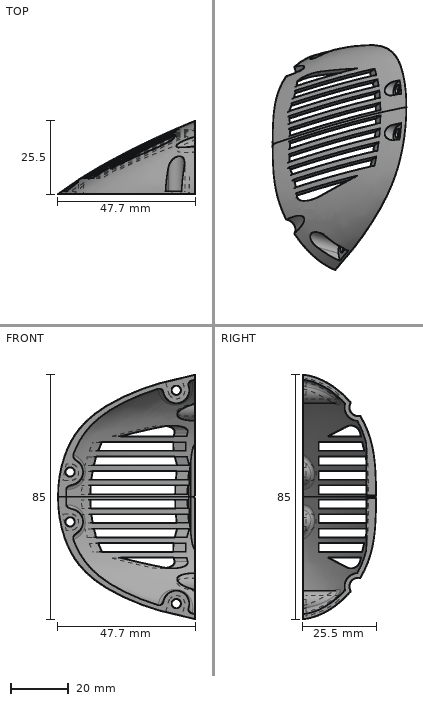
import cadquery as cq
import math

HALF_LENGTH = 42.5
DEPTH = 47.7
WALL = 1.7
BIG = 170.0

APEX_X = 5.1
APEX_HEIGHT = 27.8
APEX_HALF_WIDTH = 43.8
RIDGE_RUN = 1.329
RIDGE_BEND = 0.02118
SIDE_POWER = 1.7
CROWN_POWER = 2.4
LEVELS = [-5.1, 0, 4.25, 8.5, 12.75, 17, 21.25, 23.8, 26.35]
BASE_CURVE = [(0, 0), (0.04, 0.31), (0.1, 0.47), (0.3, 0.708), (0.6, 0.877), (1, 1)]

WINDOW_LOW = 5.6
WINDOW_HIGH = 22.5
WINDOW_OUTLINE = [(19.4, WINDOW_LOW), (26.35, 18.95), (10.6, WINDOW_HIGH)]
WINDOW_CORNER = 3.2
BAR_PITCH = 5.0
BAR_WIDTH = 2.0
BARS_PER_SIDE = 4

SCREWS = [(-6.55, 37.05, 105), (-43.4, 8.7, 180)]
SCREW_RADIUS = 1.57
HEAD_RADIUS = 2.9
HEAD_SEAT = 1.0
BOSS_RADIUS = 4.5
BOSS_FILLET = 1.5

GROOVE_Y = 19.2
GROOVE_Z = 31.1
GROOVE_RADIUS = 3.0

LIP_LOW = 22.1
LIP_FLAT_X = -0.3
LIP_LEDGE_X = -1.5
LIP_END_X = -2.6
LIP_CORNER_RISE = 0.4
LIP_CORNER_SAG = 0.1
LIP_SIDE_RISE = 0.8

BEVEL = 0.5


def level_wire(y):
    """Closed half outline of the outer surface at height y, on the z >= 0 side."""
    tip_x = -DEPTH + RIDGE_RUN * y + RIDGE_BEND * y**2
    half_width = APEX_HALF_WIDTH * (1 - (abs(y) / APEX_HEIGHT) ** SIDE_POWER) ** (1 / CROWN_POWER)
    points = [cq.Vector(tip_x + u * (APEX_X - tip_x), y, v * half_width) for u, v in BASE_CURVE]
    slope = (points[-1] - points[-2]).normalized()
    curve = cq.Edge.makeSpline(points, tangents=[cq.Vector(0, 0, 1), slope])
    corner = cq.Vector(APEX_X, y, 0)
    return cq.Wire.assembleEdges([
        curve,
        cq.Edge.makeLine(points[-1], corner),
        cq.Edge.makeLine(corner, points[0]),
    ])


def cylinder_along_y(x, z, radius, start_y):
    """Cylinder from start_y upward, through everything."""
    plane = cq.Plane(origin=(x, start_y, z), xDir=(1, 0, 0), normal=(0, 1, 0))
    return cq.Workplane(plane).circle(radius).extrude(BIG)


def cylinder_along_x(radius):
    """Cylinder on the axis of the round groove, from the flat end toward the tip."""
    return cq.Workplane("YZ").center(GROOVE_Y, GROOVE_Z).circle(radius).extrude(-DEPTH)


def make_window():
    """Window openings cut along X, with the bars left standing."""
    (low_z, low_y), (side_z, side_y), (top_z, top_y) = WINDOW_OUTLINE
    opening = (
        cq.Workplane("YZ", origin=(-DEPTH, 0, 0))
        .polyline([(low_y, 0), (low_y, low_z), (side_y, side_z), (top_y, top_z), (top_y, 0)])
        .close()
        .extrude(DEPTH)
    )
    opening = opening.edges(cq.selectors.NearestToPointSelector((-DEPTH / 2, side_y, side_z)))
    opening = opening.fillet(WINDOW_CORNER)
    for i in range(BARS_PER_SIDE + 1):
        bar = cq.Workplane("XY").box(BIG, BIG, BAR_WIDTH).translate((0, 0, i * BAR_PITCH))
        opening = opening.cut(bar)
    return opening


def make_lip():
    """Bar along Z under the wall at the flat end; its inner corner is rounded."""
    return (
        cq.Workplane("XY")
        .moveTo(0, LIP_LOW)
        .lineTo(LIP_FLAT_X, LIP_LOW)
        .threePointArc(
            ((LIP_FLAT_X + LIP_LEDGE_X) / 2, LIP_LOW + LIP_CORNER_SAG),
            (LIP_LEDGE_X, LIP_LOW + LIP_CORNER_RISE),
        )
        .lineTo(LIP_END_X, LIP_LOW + LIP_SIDE_RISE)
        .lineTo(LIP_END_X, APEX_HEIGHT)
        .lineTo(0, APEX_HEIGHT)
        .close()
        .extrude(HALF_LENGTH)
    )


def make_head_pocket(x, z, outward_angle):
    """Screw head pocket above its seat, with straight sides that run out through the wall."""
    run_out = (
        cq.Workplane("XY")
        .box(HALF_LENGTH, BIG, 2 * HEAD_RADIUS, centered=(False, False, True))
        .rotate((0, 0, 0), (0, 1, 0), -outward_angle)
        .translate((x, HEAD_SEAT, z))
    )
    return cylinder_along_y(x, z, HEAD_RADIUS, HEAD_SEAT).union(run_out)


def fillet_boss_foot(half, x, z):
    """Round the edges where the side of one boss meets the inner wall."""
    def on_boss_side(edge):
        return all(
            abs(math.hypot(p.x - x, p.z - z) - BOSS_RADIUS) < 0.01
            for p in edge.positions([0, 0.3, 0.7, 1])
        )

    foot = half.edges().filter(on_boss_side).sort(lambda edge: edge.Length())[-1]
    return foot.fillet(BOSS_FILLET)


def make_joint_bevel():
    """Triangular prism along Y that bevels the edge x = 0, z = 0."""
    corners = [(0, 0), (-BEVEL, 0), (0, BEVEL)]
    return cq.Workplane("XZ").polyline(corners).close().extrude(-BIG)


def make_half():
    """The half of the grille on the z >= 0 side."""
    outer = cq.Workplane(cq.Solid.makeLoft([level_wire(y) for y in LEVELS]))
    skin = outer.faces(cq.selectors.NearestToPointSelector((-DEPTH / 2, DEPTH / 4, HALF_LENGTH / 2))).val()
    envelope = cq.Workplane("XY").box(BIG, BIG, BIG, centered=False).translate((-BIG, 0, 0))
    half = cq.Workplane(skin.thicken(-WALL)).intersect(envelope)
    outer = outer.intersect(envelope)

    for x, z, _ in SCREWS:
        half = half.union(cylinder_along_y(x, z, BOSS_RADIUS, 0).intersect(outer))
        half = fillet_boss_foot(half, x, z)
    half = half.cut(make_window())
    inside = make_lip().union(cylinder_along_x(GROOVE_RADIUS + WALL))
    half = half.union(inside.intersect(outer))

    half = half.cut(cylinder_along_x(GROOVE_RADIUS))
    for x, z, outward_angle in SCREWS:
        half = half.cut(cylinder_along_y(x, z, SCREW_RADIUS, 0))
        half = half.cut(make_head_pocket(x, z, outward_angle))
    return half.cut(make_joint_bevel())


upper_half = make_half()
lower_half = upper_half.mirror("XY")

result = cq.Compound.makeCompound([*upper_half.vals(), *lower_half.vals()])